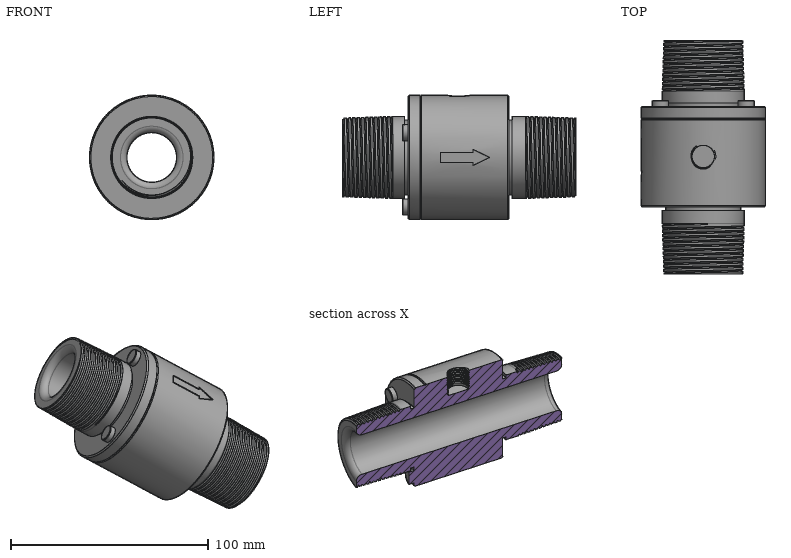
import cadquery as cq
import math

length = 118.4
front_end = -length / 2
rear_end = length / 2
axis_base = (0, 0, 0)
axis_tip = (0, 1, 0)

body_radius = 31.6
body_front = -25.2
joint_y = 19.5
flange_rear = 25.9
rim_chamfer = 0.7
joint_chamfer = 0.5

neck_radius = 19.1
collar_radius = 20.8
front_collar_start = -26.9
rear_collar_start = 27.7
bore_radius = 12.5
mouth_rounding = 3.3

thread_taper = 1 / 32
thread_length = 25.7
thread_turns = 11.6
thread_pitch = thread_length / thread_turns
thread_depth = 1.01
thread_start_angle = 60.0
tip_radius = collar_radius - thread_length * thread_taper

port_y = 0.5
port_radius = 5.7
port_depth = 11.8
port_pitch = 1.4
port_thread_depth = 0.7

screw_count = 3
screw_circle_radius = 25.1
screw_head_radius = 4.1
screw_head_height = 3.0
screw_head_chamfer = 0.4
first_screw_angle = 30.0

arrow_tail_y = 9.5
arrow_shoulder_y = -6.9
arrow_tip_y = -15.4
arrow_shaft_half = 2.5
arrow_head_half = 4.1
arrow_depth = 0.5

thread_flank = math.radians(30)
groove_overrun = 0.4


def y_cylinder(radius, y_from, y_to):
    """Cylinder on the Y axis between two Y positions."""
    start = cq.Workplane("XZ", origin=(0, y_from, 0))
    return start.circle(radius).extrude(y_from - y_to)


def thread_groove(helix, root, mouth):
    """V groove along a helix; its sharp edge lies at radius `root` and its wide side at `mouth`."""
    half_width = abs(mouth - root) * math.tan(thread_flank)
    profile = cq.Workplane("XZ").polyline([(root, 0), (mouth, half_width), (mouth, -half_width)]).close()
    return profile.sweep(cq.Workplane(helix), isFrenet=True)


def body_and_flange():
    body = y_cylinder(body_radius, body_front, joint_y)
    body = body.faces("<Y").chamfer(rim_chamfer).faces(">Y").chamfer(joint_chamfer)
    flange = y_cylinder(body_radius, joint_y, flange_rear)
    flange = flange.faces("<Y").chamfer(joint_chamfer).faces(">Y").chamfer(rim_chamfer)
    return body.union(flange)


def connector():
    """Pipe end standing on +Z with its free end at z = 0, widening upwards to the collar size."""
    lead_in = thread_pitch
    start_radius = tip_radius - lead_in * thread_taper
    helix = cq.Wire.makeHelix(
        thread_pitch,
        thread_length + lead_in,
        start_radius,
        angle=math.degrees(math.atan(thread_taper)),
    )
    groove = thread_groove(helix, start_radius - thread_depth, start_radius + groove_overrun)
    groove = groove.translate((0, 0, -lead_in)).rotate((0, 0, 0), (0, 0, 1), thread_start_angle)
    cone = (
        cq.Workplane("XZ")
        .polyline([(0, 0), (tip_radius, 0), (collar_radius, thread_length), (0, thread_length)])
        .close()
        .revolve(360, (0, 0), (0, 1))
    )
    return cone.cut(groove)


def front_connector():
    pipe = connector().rotate((0, 0, 0), (1, 0, 0), -90).translate((0, front_end, 0))
    collar = y_cylinder(collar_radius, front_end + thread_length, front_collar_start)
    neck = y_cylinder(neck_radius, front_collar_start, body_front)
    return pipe.union(collar).union(neck)


def rear_connector():
    pipe = connector().rotate((0, 0, 0), (1, 0, 0), 90).translate((0, rear_end, 0))
    collar = y_cylinder(collar_radius, rear_collar_start, rear_end - thread_length)
    neck = y_cylinder(neck_radius, flange_rear, rear_collar_start)
    return pipe.union(collar).union(neck)


def bore():
    """Through bore whose two mouths flare out in quarter rounds."""
    mouth_radius = bore_radius + mouth_rounding
    drop = mouth_rounding * (1 - math.sqrt(0.5))
    return (
        cq.Workplane("XY")
        .moveTo(0, front_end)
        .lineTo(mouth_radius, front_end)
        .threePointArc((bore_radius + drop, front_end + drop), (bore_radius, front_end + mouth_rounding))
        .lineTo(bore_radius, rear_end - mouth_rounding)
        .threePointArc((bore_radius + drop, rear_end - drop), (mouth_radius, rear_end))
        .lineTo(0, rear_end)
        .close()
        .revolve(360, axis_base, axis_tip)
    )


def cut_port(part):
    """Cut the blind threaded hole into the top of the body."""
    floor_z = body_radius - port_depth
    drill = cq.Workplane("XY", origin=(0, port_y, floor_z)).circle(port_radius).extrude(port_depth)
    helix = cq.Wire.makeHelix(port_pitch, port_depth, port_radius)
    groove = thread_groove(helix, port_radius + port_thread_depth, port_radius - groove_overrun)
    groove = groove.translate((0, port_y, floor_z + port_pitch / 2))
    return part.cut(drill).cut(groove)


def screw_heads():
    return (
        cq.Workplane("XZ", origin=(0, flange_rear, 0))
        .polarArray(screw_circle_radius, first_screw_angle, 360, screw_count)
        .circle(screw_head_radius)
        .extrude(-screw_head_height)
        .faces(">Y")
        .chamfer(screw_head_chamfer)
    )


def flow_arrow():
    outline = [
        (arrow_tail_y, arrow_shaft_half),
        (arrow_shoulder_y, arrow_shaft_half),
        (arrow_shoulder_y, arrow_head_half),
        (arrow_tip_y, 0),
        (arrow_shoulder_y, -arrow_head_half),
        (arrow_shoulder_y, -arrow_shaft_half),
        (arrow_tail_y, -arrow_shaft_half),
    ]
    pocket = cq.Workplane("YZ", origin=(-body_radius, 0, 0))
    return pocket.polyline(outline).close().extrude(arrow_depth)


part = (
    body_and_flange()
    .union(front_connector())
    .union(rear_connector())
    .union(screw_heads())
    .cut(bore())
    .cut(flow_arrow())
)
result = cut_port(part)